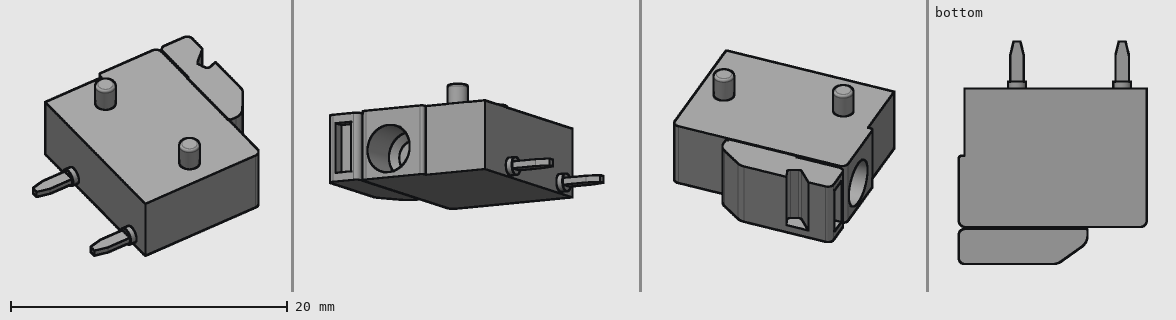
import cadquery as cq


overall_length = 16.1

housing_width = 13.6
housing_length = 10.03
housing_height = 5.05
housing_corner_radius = 0.48
step_depth = 0.42
step_length = 4.86
step_corner_radius = 0.24

entry_y = 7.7
entry_z = 2.11
entry_radius = 1.74
entry_end_radius = 1.19
entry_bore_depth = 3.22
entry_cone_depth = entry_radius - entry_end_radius

post_centers = [(2.9, 3.59), (11.61, 5.14)]
post_diameter = 1.5
post_height = 1.82
post_edge_radius = 0.2

pin_x_positions = [4.22, 11.82]
pin_z = 0.79
collar_diameter = 1.3
collar_length = 0.48
pin_length = 3.4
pin_width = 1.0
pin_thickness = 0.5
pin_tip_width = 0.5
pin_taper_length = 1.01

lever_gap = 0.13
lever_side_clearance = 0.06
lever_width = 9.32
lever_length = overall_length - pin_length - housing_length - lever_gap
lever_height = housing_height - 2 * lever_side_clearance
lever_left_radius = 0.43
lever_slope_start = 7.15
lever_slope_drop = 1.55
lever_slope_radius = 1.0
lever_front = housing_length + lever_gap
lever_back = lever_front + lever_length
lever_top = housing_height - lever_side_clearance

neck_left = 3.82
neck_right = 9.21
lever_right_radius = lever_width - neck_right
neck_height = 0.84

pocket_wall = 0.65
pocket_height = lever_height - 2 * pocket_wall
pocket_length = 1.25
pocket_front_wall = 0.65
pocket_depth = 0.89

notch_floor = pocket_wall
notch_left = 1.79
notch_right = 3.51
notch_depth = 1.2
notch_tip_x = 2.9
notch_side_x = 3.8
notch_side_depth = 0.84
notch_corner_radius = 0.24


def make_housing():
    outline = [
        (step_depth, 0),
        (housing_width, 0),
        (housing_width, housing_length),
        (0, housing_length),
        (0, step_length),
        (step_depth, step_length),
    ]
    body = cq.Workplane("XY").polyline(outline).close().extrude(housing_height)
    body = body.edges("|Z and >Y").fillet(housing_corner_radius)
    step_corner = cq.selectors.NearestToPointSelector((0, step_length, housing_height / 2))
    return body.edges(step_corner).fillet(step_corner_radius)


def make_wire_entry():
    depth = entry_bore_depth + entry_cone_depth
    profile = [
        (0, entry_y),
        (0, entry_y + entry_radius),
        (entry_bore_depth, entry_y + entry_radius),
        (depth, entry_y + entry_end_radius),
        (depth, entry_y),
    ]
    return (
        cq.Workplane("XY", origin=(0, 0, entry_z))
        .polyline(profile)
        .close()
        .revolve(360, (0, entry_y), (1, entry_y))
    )


def make_posts():
    return (
        cq.Workplane("XY", origin=(0, 0, housing_height))
        .pushPoints(post_centers)
        .circle(post_diameter / 2)
        .extrude(post_height)
        .faces(">Z")
        .edges()
        .fillet(post_edge_radius)
    )


def make_pin(x):
    collar = (
        cq.Workplane("XZ", origin=(x, 0, pin_z))
        .circle(collar_diameter / 2)
        .extrude(collar_length)
    )
    taper_y = pin_taper_length - pin_length
    blade_outline = [
        (-pin_width / 2, -collar_length),
        (-pin_width / 2, taper_y),
        (-pin_tip_width / 2, -pin_length),
        (pin_tip_width / 2, -pin_length),
        (pin_width / 2, taper_y),
        (pin_width / 2, -collar_length),
    ]
    blade = (
        cq.Workplane("XY", origin=(x, 0, pin_z - pin_thickness / 2))
        .polyline(blade_outline)
        .close()
        .extrude(pin_thickness)
    )
    return collar.union(blade)


def make_notch():
    outline = [
        (notch_left, lever_back),
        (notch_tip_x, lever_back - notch_depth),
        (notch_side_x, lever_back - notch_side_depth),
        (notch_right, lever_back),
    ]
    return (
        cq.Workplane("XY", origin=(0, 0, lever_side_clearance + notch_floor))
        .polyline(outline)
        .close()
        .extrude(lever_height - notch_floor)
        .edges("|Z and (not >Y)")
        .fillet(notch_corner_radius)
    )


def make_lever():
    slope_end_y = lever_back - lever_slope_drop
    outline = [
        (0, lever_front),
        (lever_width, lever_front),
        (lever_width, slope_end_y),
        (lever_slope_start, lever_back),
        (0, lever_back),
    ]
    lever = (
        cq.Workplane("XY", origin=(0, 0, lever_side_clearance))
        .polyline(outline)
        .close()
        .extrude(lever_height)
        .edges("|Z and <X")
        .fillet(lever_left_radius)
    )
    mid_z = housing_height / 2
    slope_start = cq.selectors.NearestToPointSelector((lever_slope_start, lever_back, mid_z))
    lever = lever.edges(slope_start).fillet(lever_slope_radius)
    slope_end = cq.selectors.NearestToPointSelector((lever_width, slope_end_y, mid_z))
    lever = lever.edges(slope_end).fillet(lever_slope_radius)
    front_corner = cq.selectors.NearestToPointSelector((lever_width, lever_front, mid_z))
    lever = lever.edges(front_corner).fillet(lever_right_radius)

    pocket = cq.Workplane("XY").box(pocket_depth, pocket_length, pocket_height, centered=False)
    pocket = pocket.translate(
        (0, lever_front + pocket_front_wall, lever_side_clearance + pocket_wall)
    )
    return lever.cut(pocket).cut(make_notch())


def make_neck():
    neck = cq.Workplane("XY").box(
        neck_right - neck_left, lever_gap, neck_height, centered=False
    )
    return neck.translate((neck_left, housing_length, lever_top - neck_height))


result = make_housing().cut(make_wire_entry())
result = result.union(make_posts())
for pin_x in pin_x_positions:
    result = result.union(make_pin(pin_x))
result = result.union(make_neck()).union(make_lever())